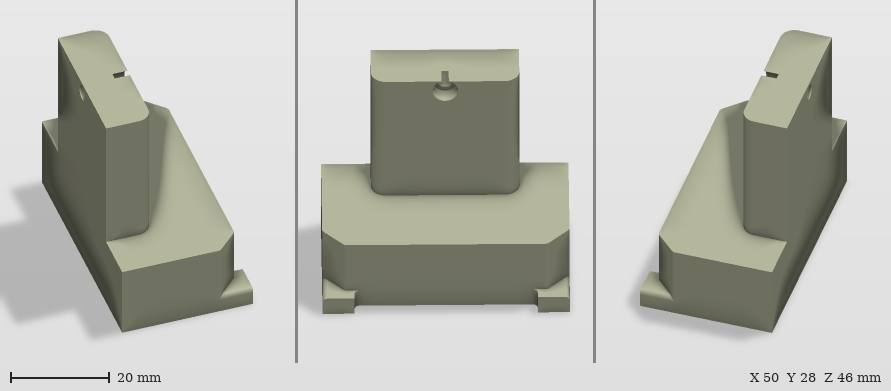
import cadquery as cq

base_width = 50.0
base_depth = 25.5
base_height = 16.0
corner_chamfer = 4.5
corner_radius = 1.0

lug_width = 6.5
lug_reach = 2.5
lug_height = 4.0
lug_edge_radius = 1.0
lug_root_radius = 1.0

tower_width = 30.0
tower_depth = 10.0
tower_top = 46.0
tower_corner_radius = 3.0

hole_diameter = 3.25
hole_below_top = 2.5
counterbore_diameter = 5.2
counterbore_depth = 3.25


def block(width, depth, bottom, top):
    """Box centred on X with its front face on Y = 0."""
    box = cq.Workplane("XY").box(width, depth, top - bottom, centered=(True, False, False))
    return box.translate((0, 0, bottom))


def make_base():
    """Block whose rear corners are chamfered, with the chamfer ends softened."""
    base = block(base_width, base_depth, 0, base_height)
    base = base.edges("|Z and >Y").chamfer(corner_chamfer)
    rear = cq.selectors.BoxSelector(
        (-base_width, base_depth / 2, -base_height),
        (base_width, base_depth * 2, base_height * 2),
    )
    return base.edges("|Z").edges(rear).fillet(corner_radius)


def make_foot():
    """Low plate whose rear middle is cut away to leave two lugs."""
    foot_depth = base_depth + lug_reach
    foot = block(base_width, foot_depth, 0, lug_height)
    gap_width = base_width - 2 * lug_width
    gap = block(gap_width, lug_reach, 0, lug_height).edges("|Z and <Y").fillet(lug_root_radius)
    foot = foot.cut(gap.translate((0, base_depth, 0)))
    top_edges = foot.faces(">Z").edges("<X or >X")
    return top_edges.fillet(lug_edge_radius)


def make_tower():
    tower = block(tower_width, tower_depth, base_height, tower_top)
    return tower.edges("|Z and >Y").fillet(tower_corner_radius)


def make_screw_hole():
    """Through hole plus a counterbore that breaks out through the tower top."""
    centre = (0, tower_depth, tower_top - hole_below_top)
    rear = cq.Workplane("XZ", origin=centre)
    hole = rear.circle(hole_diameter / 2).extrude(tower_depth)
    counterbore = rear.circle(counterbore_diameter / 2).extrude(counterbore_depth)
    return hole.union(counterbore)


result = make_base().union(make_foot()).union(make_tower()).cut(make_screw_hole())